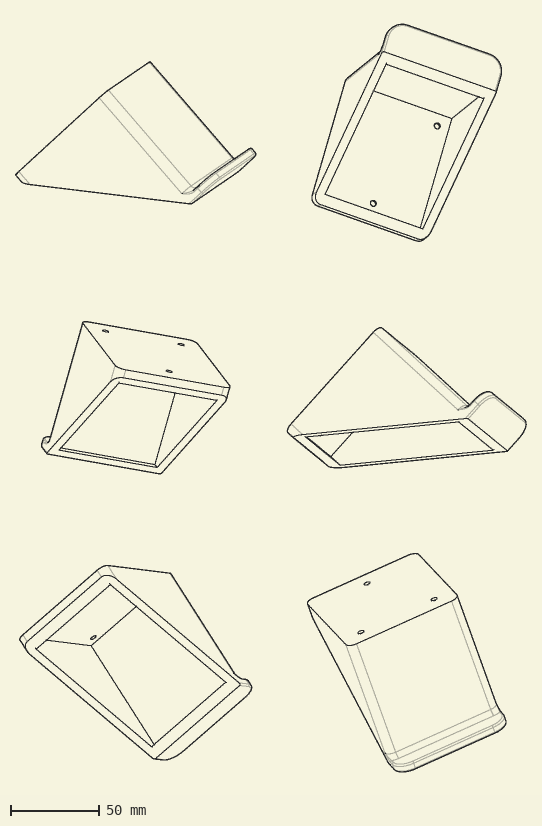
import cadquery as cq
import math


body_width = 70.0
body_height = 60.1
plate_length = 80.0
body_depth = 80.0
body_corner_radius = 5.0
lean_angle = 45

lip_end = 95.0
lip_thickness = 5.0
lip_corner_radius = 10.0
lip_edge_radius = 1.0
valley_radius = 3.0

plate_thickness = 2.0
wall_thickness = 5.0

hole_diameter = 3.5
hole_rise = 28.0
hole_side_offset = 23.1

lip_front = -(body_depth - lip_thickness)
plate_foot_height = body_height - plate_length * math.sin(math.radians(lean_angle))

spare = 2 * lip_corner_radius
ground_size = 4 * body_depth


def block(x_start, x_end, width, z_bottom, z_top):
    """Box centred on Y between the given X and Z limits."""
    return (
        cq.Workplane("XY", origin=((x_start + x_end) / 2, 0, z_bottom))
        .rect(x_end - x_start, width)
        .extrude(z_top - z_bottom)
    )


def body_on_slab():
    """Round-cornered body standing on an oversize lip slab, with the valley between them filleted."""
    body = block(0, plate_length, body_width, lip_front, 0)
    body = body.edges("|Z").fillet(body_corner_radius)
    slab = block(-spare, lip_end + spare, body_width + 2 * spare, -body_depth, lip_front)
    near = valley_radius / 2
    valley_edges = cq.selectors.BoxSelector(
        (-near, -body_width / 2 - near, lip_front - near),
        (plate_length + near, body_width / 2 + near, lip_front + near),
    )
    return body.union(slab).edges(valley_edges).fillet(valley_radius)


def lip_outline():
    """Full-depth envelope with the lip's round corners and its rounded rear edge."""
    envelope = block(-spare, lip_end, body_width, -body_depth, 0)
    envelope = envelope.edges("|Z and >X").fillet(lip_corner_radius)
    return envelope.faces("<Z").edges().fillet(lip_edge_radius)


def cavity():
    """Hollow behind the plate; it runs out through the bottom."""
    return block(
        wall_thickness,
        plate_length - wall_thickness,
        body_width - 2 * wall_thickness,
        lip_front,
        -plate_thickness,
    )


def screw_holes():
    middle = plate_length / 2
    places = [
        (middle - hole_rise, 0),
        (middle + hole_rise, hole_side_offset),
        (middle + hole_rise, -hole_side_offset),
    ]
    return cq.Workplane("XY").pushPoints(places).circle(hole_diameter / 2).extrude(-2 * plate_thickness)


def ground():
    """Everything below the flat bottom of the stand."""
    return cq.Workplane("XY").rect(ground_size, ground_size).extrude(-ground_size)


stand = body_on_slab().intersect(lip_outline())
stand = stand.edges("|Y").edges(">X").edges(">Z").fillet(lip_edge_radius)

stand = stand.cut(cavity()).cut(screw_holes())

stand = stand.rotate((0, 0, 0), (0, 1, 0), -lean_angle).translate((0, 0, plate_foot_height))
result = stand.cut(ground())